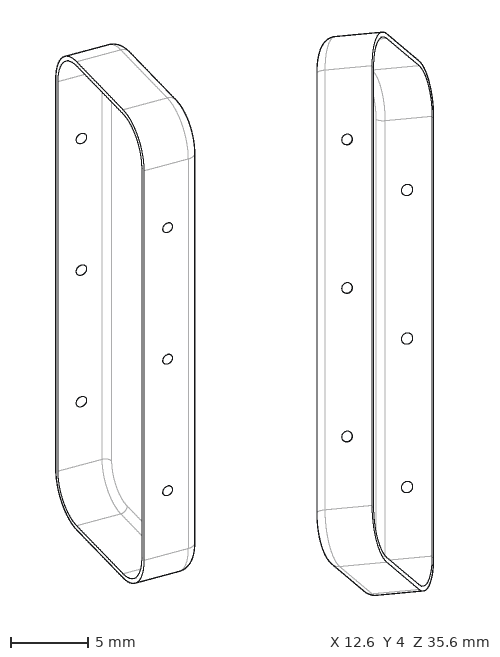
import cadquery as cq

width = 12.6
depth = 4.0
height = 35.6
corner_radius = 3.0
back_edge_radius = 0.8

wall = 0.32
inner_edge_radius = back_edge_radius - wall

dimple_radius = 0.35
bump_radius = 0.5
detent_spacing = 10.0
detent_count = 3
detent_from_rim = 1.7

rim_y = -depth / 2


def rounded_block(inset, back_radius):
    """Rounded upright block, inset from the outer sides and back, flush with the rim."""
    return (
        cq.Workplane("XY")
        .box(width - 2 * inset, depth - inset, height - 2 * inset)
        .translate((0, -inset / 2, 0))
        .edges("|Y")
        .fillet(corner_radius - inset)
        .faces(">Y")
        .edges()
        .fillet(back_radius)
    )


def detent_spheres(radius):
    """Spheres centred on the outer faces of both long side walls, one per detent."""
    first_z = -detent_spacing * (detent_count - 1) / 2
    centers = [
        (side * width / 2, rim_y + detent_from_rim, first_z + index * detent_spacing)
        for side in (-1, 1)
        for index in range(detent_count)
    ]
    return cq.Workplane("XY").pushPoints(centers).sphere(radius, direct=(0, 1, 0))


outer_body = rounded_block(0, back_edge_radius)
cavity = rounded_block(wall, inner_edge_radius)
tray = outer_body.cut(cavity)

bumps = detent_spheres(bump_radius).intersect(outer_body)
dimples = detent_spheres(dimple_radius)
result = tray.union(bumps).cut(dimples)